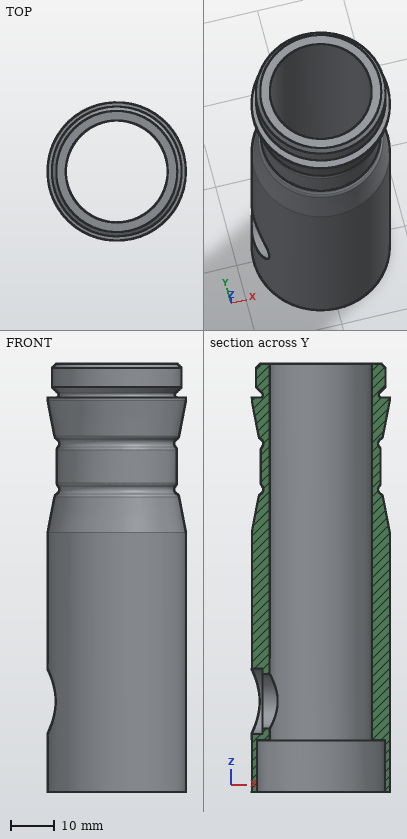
import cadquery as cq
import math

body_radius = 16.0
total_height = 99.0

neck_middle = 75.25
neck_radius = 13.9
cone_start = 6.9
cone_end = 15.2
cone_small_radius = 14.4

groove_offset = 5.3
groove_root_radius = 13.3
groove_section_radius = 1.2
groove_edge_fillet = 1.0

shoulder_top = 91.2
lip_groove_radius = 13.45
lip_groove_fillet = 0.6
lip_radius = 15.0
lip_chamfer = 1.0

bore_radius = 11.75
socket_radius = 14.75
socket_depth = 12.0

side_hole_height = 21.0
side_hole_diameter = 12.5
side_counterbore_diameter = 15.0
side_counterbore_floor = 13.5


def outer_profile():
    """Half section of the solid outer shape; points are (radius, height)."""
    cone_slope = (body_radius - cone_small_radius) / (cone_end - cone_start)
    cone_tip_radius = cone_small_radius - cone_slope * (cone_start - groove_offset)

    fillet = lip_groove_fillet
    turn = math.radians(45)
    arc_middle_height = shoulder_top + fillet
    underside_start_radius = lip_groove_radius + fillet * (1 - math.cos(turn))
    underside_start = arc_middle_height + fillet * math.sin(turn)
    lip_bottom = underside_start + lip_radius - underside_start_radius

    return (
        cq.Workplane("XZ")
        .lineTo(body_radius, 0)
        .lineTo(body_radius, neck_middle - cone_end)
        .lineTo(cone_tip_radius, neck_middle - groove_offset)
        .lineTo(neck_radius, neck_middle - groove_offset)
        .lineTo(neck_radius, neck_middle + groove_offset)
        .lineTo(cone_tip_radius, neck_middle + groove_offset)
        .lineTo(body_radius, neck_middle + cone_end)
        .lineTo(body_radius, shoulder_top)
        .lineTo(lip_groove_radius + fillet, shoulder_top)
        .threePointArc((lip_groove_radius, arc_middle_height), (underside_start_radius, underside_start))
        .lineTo(lip_radius, lip_bottom)
        .lineTo(lip_radius, total_height - lip_chamfer)
        .lineTo(lip_radius - lip_chamfer, total_height)
        .lineTo(0, total_height)
        .close()
    )


def groove_ring(height):
    """Ring of circular section that cuts one neck groove."""
    ring_radius = groove_root_radius + groove_section_radius
    section = cq.Workplane("XZ").center(ring_radius, height).circle(groove_section_radius)
    return section.revolve(360, (-ring_radius, 0), (-ring_radius, 1))


def round_groove_edges(body, height):
    """Fillet the two circular edges of the groove at the given height."""
    zone = cq.selectors.BoxSelector(
        (-body_radius, -body_radius, height - groove_section_radius),
        (body_radius, body_radius, height + groove_section_radius),
    )
    groove_edges = [edge for edge in body.edges(zone).vals() if edge.radius() > neck_radius / 2]
    return body.newObject(groove_edges).fillet(groove_edge_fillet)


def outer_body():
    """Revolved outer shape with both neck grooves."""
    body = outer_profile().revolve(360, (0, 0), (0, 1))
    for height in (neck_middle - groove_offset, neck_middle + groove_offset):
        body = body.cut(groove_ring(height))
        body = round_groove_edges(body, height)
    return body


def axial_bore():
    """Through bore with a wider socket at the bottom end."""
    bore = cq.Workplane("XY").circle(bore_radius).extrude(total_height)
    socket = cq.Workplane("XY").circle(socket_radius).extrude(socket_depth)
    return bore.union(socket)


def side_hole():
    """Counterbored hole through the -X wall into the bore."""
    axis_plane = cq.Workplane("YZ").center(0, side_hole_height)
    hole = axis_plane.circle(side_hole_diameter / 2).extrude(-body_radius)
    counterbore = (
        axis_plane.workplane(offset=-body_radius)
        .circle(side_counterbore_diameter / 2)
        .extrude(body_radius - side_counterbore_floor)
    )
    return hole.union(counterbore)


result = outer_body().cut(axial_bore()).cut(side_hole())